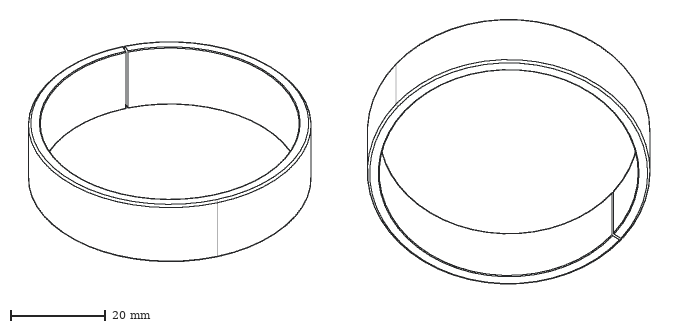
import cadquery as cq

outer_diameter = 60.0
wall = 2.5
height = 15.0
outer_chamfer = 0.5
inner_chamfer = 0.2
split_gap = 0.5

outer_radius = outer_diameter / 2
inner_radius = outer_radius - wall
top = height / 2


def sleeve():
    """Revolve the wall section, with both rims chamfered inside and outside."""
    section = [
        (inner_radius, top - inner_chamfer),
        (inner_radius + inner_chamfer, top),
        (outer_radius - outer_chamfer, top),
        (outer_radius, top - outer_chamfer),
        (outer_radius, -top + outer_chamfer),
        (outer_radius - outer_chamfer, -top),
        (inner_radius + inner_chamfer, -top),
        (inner_radius, -top + inner_chamfer),
    ]
    return cq.Workplane("XZ").polyline(section).close().revolve(360, (0, 0, 0), (0, 1, 0))


def split():
    """Narrow slot through the wall on the -X side, one face lying on the XZ plane."""
    slot = cq.Workplane("XY").box(outer_radius, split_gap, height)
    return slot.translate((-outer_radius, split_gap / 2, 0))


result = sleeve().cut(split())